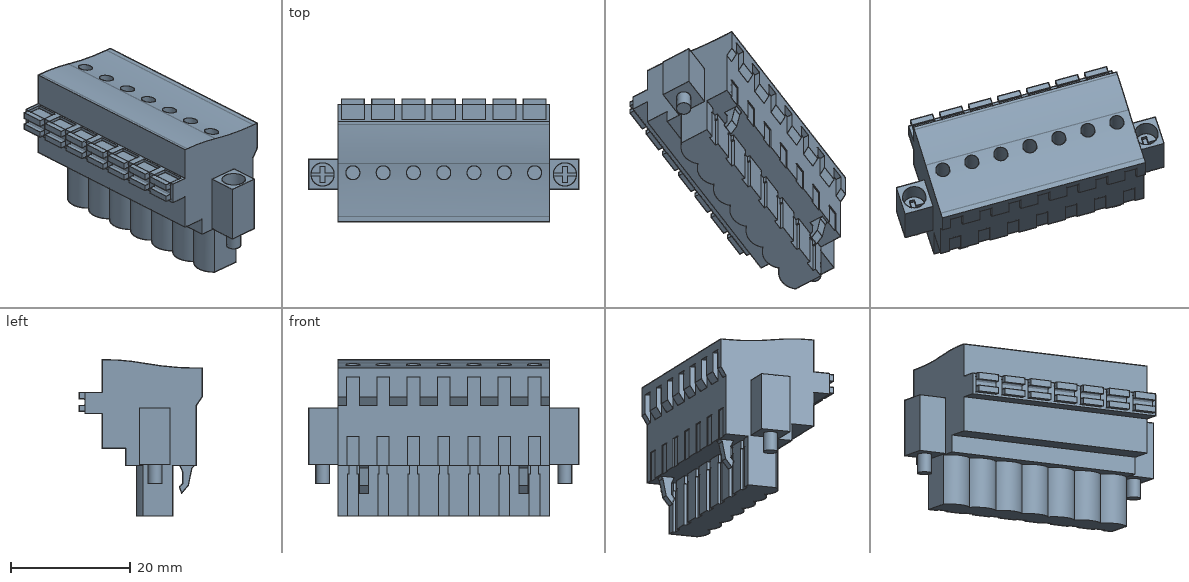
import cadquery as cq

pole_count = 7
pitch = 5.08
body_width = pole_count * pitch
overall_width = 45.36
overall_depth = 20.64
overall_height = 26.24
pole_xs = [(i - (pole_count - 1) / 2) * pitch for i in range(pole_count)]

front_wall_y = 0.97
rear_step_y = 12.84
rear_wall_y = 16.80
shelf_end_y = 19.68
top_front_land = 0.91
top_rear_land = 0.47
inflection_y = 9.77

body_bottom_z = 8.44
rear_step_z = 11.33
shelf_bottom_z = 17.17
shelf_top_z = 20.73
front_chamfer_bottom_z = 18.55
front_chamfer_top_z = 20.0
front_edge_z = 24.83

front_slot_width = 2.15
front_slot_top_z = 23.3
lower_slot_width = 2.0
lower_slot_top_z = 13.36
lower_slot_depth = 0.2

release_hole_diameter = 2.34
release_hole_y = 8.23
release_hole_floor_z = 16.0

plug_front_y = 4.93
plug_side_rear_y = 9.96
plug_crest_y = 11.07
plug_slot_depth = 0.5
plug_slot_width = 1.8
plug_slot_neck_width = 1.35
plug_slot_neck_z = 7.07

latch_width = 1.55
latch_x = 13.37
latch_front_root_y = 1.33
latch_front_neck = (1.72, 8.05)
latch_front_bend = (2.32, 5.15)
latch_tip = (3.46, 3.8)
latch_hook = (3.85, 4.86)
latch_inner_y = 3.31
latch_inner_bottom_z = 5.45
latch_inner_top_z = 7.42
latch_rear_root_y = 3.77

flange_width = (overall_width - body_width) / 2
flange_front_y = 5.42
flange_rear_y = 10.53
flange_bottom_z = 8.6
flange_top_z = 18.14

screw_x = (pole_count + 1) / 2 * pitch
screw_y = 7.95
screw_head_diameter = 3.9
screw_head_height = 2.0
screw_head_top_z = 14.0
screw_head_bottom_z = screw_head_top_z - screw_head_height
screw_shank_diameter = 2.38
screw_bottom_z = 5.42
drive_depth = 0.8
drive_slot_width = 0.52
drive_cross_width = 0.84
drive_cross_length = 2.73

button_width = 3.87
button_inner_y = 17.16
button_bottom_z = 17.55
button_recess = 0.5
button_slot_bottom_z = 18.55
button_slot_top_z = 19.63
button_slot_fillet = 0.2


def block(x_center, width, y0, y1, z0, z1):
    """Box centred on x_center in X and spanning the given Y and Z ranges."""
    return cq.Workplane("XY").box(width, y1 - y0, z1 - z0, centered=(True, False, False)).translate(
        (x_center, y0, z0)
    )


def upright_cylinder(x, y, diameter, z0, z1):
    return cq.Workplane("XY", origin=(x, y, z0)).circle(diameter / 2).extrude(z1 - z0)


def extrude_side(outline, x_center, width):
    """Extrude a closed YZ outline symmetrically about x_center."""
    return outline.extrude(width / 2, both=True).translate((x_center, 0, 0))


def make_body():
    """Main body with its rear shelf and its S-curved top."""
    s_curve_length = rear_wall_y - top_rear_land - top_front_land
    rear_share = (rear_wall_y - top_rear_land - inflection_y) / s_curve_length
    inflection_z = overall_height - rear_share * (overall_height - front_edge_z)
    outline = (
        cq.Workplane("YZ")
        .moveTo(front_wall_y, body_bottom_z)
        .lineTo(rear_step_y, body_bottom_z)
        .lineTo(rear_step_y, rear_step_z)
        .lineTo(rear_wall_y, rear_step_z)
        .lineTo(rear_wall_y, shelf_bottom_z)
        .lineTo(shelf_end_y, shelf_bottom_z)
        .lineTo(shelf_end_y, shelf_top_z)
        .lineTo(rear_wall_y, shelf_top_z)
        .lineTo(rear_wall_y, overall_height)
        .lineTo(rear_wall_y - top_rear_land, overall_height)
        .tangentArcPoint((inflection_y, inflection_z), relative=False)
        .tangentArcPoint((top_front_land, front_edge_z), relative=False)
        .lineTo(0, front_edge_z)
        .lineTo(0, front_chamfer_top_z)
        .lineTo(front_wall_y, front_chamfer_bottom_z)
        .close()
    )
    return extrude_side(outline, 0, body_width)


def make_plug():
    """Plug block with a rounded rear rib behind each pole."""
    plug = block(0, body_width, plug_front_y, plug_side_rear_y, 0, body_bottom_z)
    for x in pole_xs:
        rib = (
            cq.Workplane("XY")
            .moveTo(x - pitch / 2, plug_side_rear_y)
            .threePointArc((x, plug_crest_y), (x + pitch / 2, plug_side_rear_y))
            .close()
            .extrude(body_bottom_z)
        )
        plug = plug.union(rib)
    return plug


def make_latch(x):
    """Snap latch hanging below the front edge of the body."""
    outline = cq.Workplane("YZ").polyline(
        [
            (latch_front_root_y, body_bottom_z),
            latch_front_neck,
            latch_front_bend,
            latch_tip,
            latch_hook,
            (latch_inner_y, latch_inner_bottom_z),
            (latch_inner_y, latch_inner_top_z),
            (latch_rear_root_y, body_bottom_z),
        ]
    ).close()
    return extrude_side(outline, x, latch_width)


def make_button_space(x, top_z):
    """Space inside the shelf taken by a push button or its bay, up to top_z."""
    return block(x, button_width, button_inner_y, shelf_end_y, button_bottom_z, top_z)


def make_screw(x):
    """Flange screw with a slot across its head and a shorter cross slot."""
    drive_z = screw_head_top_z - drive_depth
    half_cross = drive_cross_length / 2
    half_slot = drive_slot_width / 2
    shank = upright_cylinder(x, screw_y, screw_shank_diameter, screw_bottom_z, screw_head_bottom_z)
    head = upright_cylinder(x, screw_y, screw_head_diameter, screw_head_bottom_z, screw_head_top_z)
    slot = block(x, screw_head_diameter, screw_y - half_slot, screw_y + half_slot, drive_z, screw_head_top_z)
    cross = block(x, drive_cross_width, screw_y - half_cross, screw_y + half_cross, drive_z, screw_head_top_z)
    return shank.union(head).cut(slot).cut(cross)


def make_button(x):
    """Push button with a sunken inner part and a slotted tip behind the shelf."""
    button = make_button_space(x, shelf_top_z - button_recess)
    tip = block(x, button_width, shelf_end_y, overall_depth, button_bottom_z, shelf_top_z)
    slot = block(x, button_width, shelf_end_y, overall_depth, button_slot_bottom_z, button_slot_top_z)
    slot = slot.edges("|X and <Y").fillet(button_slot_fillet)
    return button.union(tip.cut(slot))


def cut_pole(housing, x):
    """Cut the recesses, wire-release hole and button bay of the pole at x."""
    lower_slot_floor_y = front_wall_y + lower_slot_depth
    plug_slot_floor_y = plug_front_y + plug_slot_depth
    cuts = [
        block(x, front_slot_width, 0, front_wall_y, front_chamfer_bottom_z, front_slot_top_z),
        block(x, lower_slot_width, front_wall_y, lower_slot_floor_y, body_bottom_z, lower_slot_top_z),
        block(x, plug_slot_width, plug_front_y, plug_slot_floor_y, 0, plug_slot_neck_z),
        block(x, plug_slot_neck_width, plug_front_y, plug_slot_floor_y, plug_slot_neck_z, body_bottom_z),
        upright_cylinder(x, release_hole_y, release_hole_diameter, release_hole_floor_z, overall_height),
        make_button_space(x, shelf_top_z),
    ]
    for cut in cuts:
        housing = housing.cut(cut)
    return housing


def cut_screw_hole(housing, x):
    """Cut the stepped hole that takes a flange screw."""
    shank_hole = upright_cylinder(x, screw_y, screw_shank_diameter, flange_bottom_z, screw_head_bottom_z)
    head_hole = upright_cylinder(x, screw_y, screw_head_diameter, screw_head_bottom_z, flange_top_z)
    return housing.cut(shank_hole).cut(head_hole)


def make_flange(side):
    x = side * (body_width + flange_width) / 2
    return block(x, flange_width, flange_front_y, flange_rear_y, flange_bottom_z, flange_top_z)


def make_housing():
    """Body, plug, flanges and latches in one piece, with all recesses and holes."""
    housing = make_body().union(make_plug())
    for side in (-1, 1):
        housing = housing.union(make_flange(side)).union(make_latch(side * latch_x))
        housing = cut_screw_hole(housing, side * screw_x)
    for x in pole_xs:
        housing = cut_pole(housing, x)
    return housing


housing = make_housing()
screws = [make_screw(side * screw_x) for side in (-1, 1)]
buttons = [make_button(x) for x in pole_xs]

result = cq.Compound.makeCompound(
    [housing.val()] + [screw.val() for screw in screws] + [button.val() for button in buttons]
)